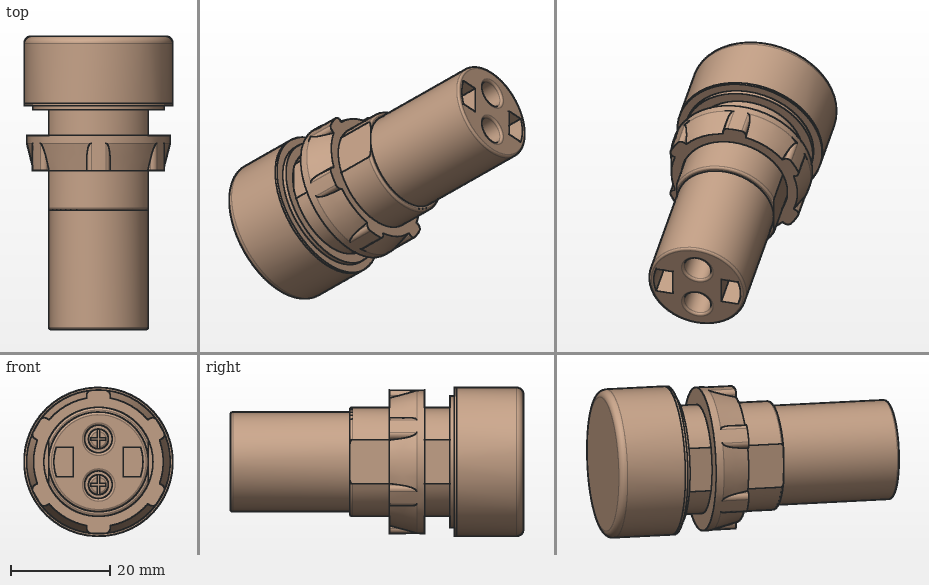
import cadquery as cq
import math


total_length = 59.0
shoulder_y = 24.0
nut_front_y = 32.0
nut_rim_y = 37.45
nut_back_y = 39.05
seal_thickness = 0.9
flange_thickness = 0.5
flange_back_y = 45.55
flange_front_y = flange_back_y - flange_thickness
seal_front_y = flange_front_y - seal_thickness

cap_radius = 15.0
cap_rounding = 1.5
seal_radius = 13.3
seal_hole_radius = 11.25

stem_radius = 10.05
barrel_radius = 11.0
half_across_flats = stem_radius
edge_rounding = 0.5

screw_offset = 4.6
screw_hole_radius = 2.8
screw_hole_depth = 7.1
pocket_inner_x = 5.0
pocket_outer_radius = 8.95
pocket_half_height = 2.95
pocket_depth = 7.1

screw_radius = 2.0
screw_height = 1.75
cross_slot_width = 0.55
cross_slot_depth = 0.7
short_slot_length = 2 * (screw_radius - edge_rounding)

nut_radius = 14.45
notch_front_radius = 13.05
lug_count = 6
lug_width = 4.7
lug_rounding = 1.0


def cylinder(radius, start_y, end_y):
    """Cylinder on the Y axis between two places."""
    return cq.Workplane("XZ", origin=(0, end_y, 0)).circle(radius).extrude(end_y - start_y)


def box(size_x, start_y, end_y, size_z):
    """Box centred on the Y axis in X and Z."""
    middle_y = (start_y + end_y) / 2
    return cq.Workplane("XY").box(size_x, end_y - start_y, size_z).translate((0, middle_y, 0))


def make_cap():
    cap = cylinder(cap_radius, flange_back_y, total_length)
    return cap.faces(">Y").edges().fillet(cap_rounding)


def make_seal():
    ring = cylinder(seal_radius, seal_front_y, flange_front_y)
    return ring.cut(cylinder(seal_hole_radius, seal_front_y, flange_front_y))


def make_side_pockets():
    """Two straight-sided pockets whose outer walls follow the stem."""
    width = 2 * pocket_outer_radius
    height = 2 * pocket_half_height
    band = cylinder(pocket_outer_radius, 0, pocket_depth).intersect(box(width, 0, pocket_depth, height))
    return band.cut(box(2 * pocket_inner_x, 0, pocket_depth, height))


def make_housing():
    barrel = cylinder(barrel_radius, shoulder_y, flange_front_y)
    barrel = barrel.faces("<Y").edges().fillet(edge_rounding)
    flats = box(2 * half_across_flats, shoulder_y, flange_front_y, 2 * barrel_radius)
    barrel = barrel.intersect(flats)

    stem = cylinder(stem_radius, 0, shoulder_y)
    for side in (-1, 1):
        hole = cylinder(screw_hole_radius, 0, screw_hole_depth)
        stem = stem.cut(hole.translate((0, 0, side * screw_offset)))
    stem = stem.faces("<Y").edges().fillet(edge_rounding)
    stem = stem.cut(make_side_pockets())

    flange = cylinder(cap_radius, flange_front_y, flange_back_y)
    return stem.union(barrel).union(flange)


def make_lug():
    """Nut lug at the +Z side, with rounded outer edges."""
    half_width = lug_width / 2
    corner_z = math.sqrt(nut_radius**2 - half_width**2)
    lug = (
        cq.Workplane("XZ", origin=(0, nut_rim_y, 0))
        .moveTo(-half_width, barrel_radius)
        .lineTo(-half_width, corner_z)
        .threePointArc((0, nut_radius), (half_width, corner_z))
        .lineTo(half_width, barrel_radius)
        .close()
        .extrude(nut_rim_y - nut_front_y)
    )
    return lug.edges("|Y").edges(">Z").fillet(lug_rounding)


def make_notches():
    """Six tapered finger notches: a ring outside a cone, interrupted by the lugs."""
    notches = (
        cq.Workplane("XY")
        .moveTo(notch_front_radius, nut_front_y)
        .lineTo(nut_radius, nut_rim_y)
        .lineTo(nut_radius, nut_front_y)
        .close()
        .revolve(360, (0, 0, 0), (0, 1, 0))
    )
    lug = make_lug()
    for index in range(lug_count):
        angle = index * 360 / lug_count
        notches = notches.cut(lug.rotate((0, 0, 0), (0, 1, 0), angle))
    return notches


def make_nut():
    nut = cylinder(nut_radius, nut_front_y, nut_back_y)
    nut = nut.cut(cylinder(barrel_radius, nut_front_y, nut_back_y))
    return nut.cut(make_notches())


def make_screw(z):
    """Screw head resting on the floor of its hole, with a cross recess."""
    top_y = screw_hole_depth - screw_height
    slot_floor_y = top_y + cross_slot_depth
    screw = cylinder(screw_radius, top_y, screw_hole_depth)
    screw = screw.faces("<Y").edges().fillet(edge_rounding)
    screw = screw.cut(box(cross_slot_width, top_y, slot_floor_y, 2 * screw_radius))
    screw = screw.cut(box(short_slot_length, top_y, slot_floor_y, cross_slot_width))
    return screw.translate((0, 0, z))


cap = make_cap()
seal = make_seal()
housing = make_housing()
nut = make_nut()
screws = [make_screw(side * screw_offset) for side in (-1, 1)]

bodies = [cap, seal, housing, nut, *screws]
result = cq.Compound.makeCompound([body.solids().val() for body in bodies])